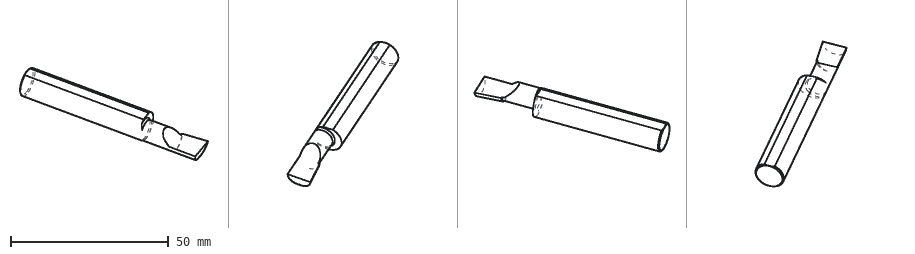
import cadquery as cq

total_length = 63.5
shank_radius = 4.75
shank_length = 43.05
shank_chamfer = 0.4
flat_height = 4.45

neck_radius = 3.5
neck_reach = 2.0
neck_offset = neck_reach - neck_radius
collar_length = 0.75
collar_rise = 0.45

head_start = 54.6
head_root_reach = 2.5
tip_reach = 3.3
clearance_angle = 9.0
end_edge_angle = 2.0

ramp_foot = 53.85
ramp_fillet = 0.65


def rod(radius, start, length, y=0.0):
    """Round bar along X, with its axis at the given Y."""
    return cq.Workplane("YZ", origin=(start, y, 0)).circle(radius).extrude(length)


def make_shank():
    """Round shank with a chamfered back end and a locating flat on top."""
    shank = rod(shank_radius, 0, shank_length).faces("<X").chamfer(shank_chamfer)
    waste = cq.Workplane("XY", origin=(0, 0, flat_height)).rect(
        2 * shank_length, 2 * shank_radius
    ).extrude(shank_radius)
    return shank.cut(waste)


def make_neck():
    """Eccentric neck with a conical collar where it leaves the shank."""
    neck = rod(neck_radius, shank_length, total_length - shank_length, neck_offset)
    collar = (
        cq.Workplane("YZ", origin=(shank_length, neck_offset, 0))
        .circle(neck_radius + collar_rise)
        .workplane(offset=collar_length)
        .circle(neck_radius)
        .loft()
    )
    return neck.union(collar)


def make_head():
    """Round-sided head of neck radius that drifts toward +Y up to the tip."""
    return (
        cq.Workplane("YZ", origin=(head_start, 0, 0))
        .center(head_root_reach - neck_radius, 0)
        .circle(neck_radius)
        .workplane(offset=total_length - head_start)
        .center(tip_reach - head_root_reach, 0)
        .circle(neck_radius)
        .loft()
    )


def make_rake_cutter():
    """Space above the rake face and its 45 degree ramp."""
    space = (
        cq.Workplane("XZ")
        .moveTo(ramp_foot, 0)
        .lineTo(total_length, 0)
        .lineTo(total_length, shank_radius)
        .lineTo(ramp_foot - shank_radius, shank_radius)
        .close()
        .extrude(shank_radius, both=True)
    )
    return space.edges(cq.selectors.NearestToPointSelector((ramp_foot, 0, 0))).fillet(ramp_fillet)


def make_end_cutter():
    """Block whose back face passes through the tip at both end angles."""
    size = 4 * shank_radius
    return (
        cq.Workplane("XY")
        .box(size, size, size, centered=(False, True, True))
        .rotate((0, 0, 0), (0, 1, 0), clearance_angle)
        .rotate((0, 0, 0), (0, 0, 1), -end_edge_angle)
        .translate((total_length, tip_reach, 0))
    )


envelope = rod(shank_radius, shank_length, total_length - shank_length)
tool_end = make_neck().union(make_head()).intersect(envelope)
tool_end = tool_end.cut(make_rake_cutter()).cut(make_end_cutter())

result = make_shank().union(tool_end)